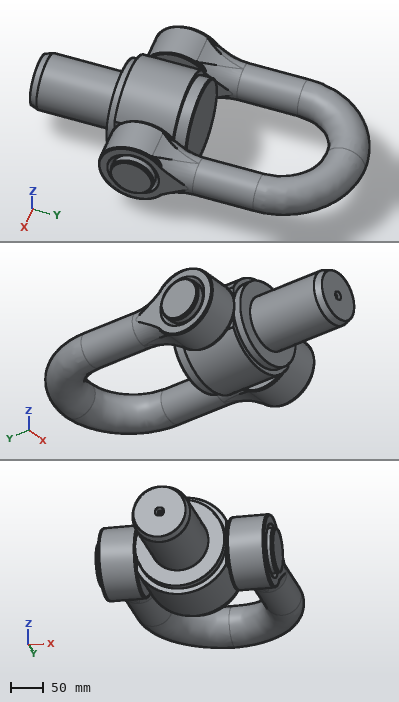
import cadquery as cq
import math


stud_diameter = 90.0
stud_tip_diameter = 82.0
stud_tip_y = -199.0
stud_tip_taper = 12.0
center_mark_diameter = 6.5
center_mark_depth = 10.5
center_sink_diameter = 13.5
head_diameter = 142.5
head_top_y = 64.5
head_edge_chamfer = 1.5
ring_diameter = 140.0
ring_front_y = -65.0

housing_diameter = 157.0
housing_width = 140.0
housing_front_y = -51.5
housing_back_y = 43.0

leg_diameter = 58.5
leg_offset = 101.0
leg_start_y = 96.0
bow_start_y = 193.5
crown_y = 328.5
crown_diameter = 64.0
bow_steps = 6
eye_diameter = 112.5
eye_width = 59.0
eye_edge_radial = 1.3
eye_edge_axial = 2.5
flare_end_radius = 54.0
flare_end_y = 30.0

pin_diameter = 69.0
pin_end_diameter = 68.0
pin_step_x = 135.0
overall_width = 278.0
pin_outer_x = overall_width / 2
pin_inner_x = 50.0
pin_end_chamfer = 1.0
sink_outer_diameter = 83.5
sink_middle_diameter = 75.5
sink_outer_depth = 3.95
sink_inner_depth = 2.0

leg_radius = leg_diameter / 2
eye_radius = eye_diameter / 2
SIDES = (-1, 1)


def cylinder_along_y(diameter, y_start, y_end):
    """Cylinder about the Y axis between two places along Y."""
    return cq.Workplane("XZ", origin=(0, y_start, 0)).circle(diameter / 2).extrude(y_start - y_end)


def cylinder_along_x(diameter, x_start, x_end):
    """Cylinder about the X axis between two places along X."""
    return cq.Workplane("YZ", origin=(x_start, 0, 0)).circle(diameter / 2).extrude(x_end - x_start)


def make_stud():
    """Shank with a tapered, center-marked tip, and a head behind the housing."""
    tip_radius = stud_tip_diameter / 2
    shank_radius = stud_diameter / 2
    head_radius = head_diameter / 2
    mark_radius = center_mark_diameter / 2
    sink_depth = center_sink_diameter / 2 - mark_radius
    return (
        cq.Workplane("XY")
        .moveTo(0, stud_tip_y + center_mark_depth)
        .lineTo(mark_radius, stud_tip_y + center_mark_depth)
        .lineTo(mark_radius, stud_tip_y + sink_depth)
        .lineTo(center_sink_diameter / 2, stud_tip_y)
        .lineTo(tip_radius, stud_tip_y)
        .lineTo(shank_radius, stud_tip_y + stud_tip_taper)
        .lineTo(shank_radius, housing_back_y)
        .lineTo(head_radius, housing_back_y)
        .lineTo(head_radius, head_top_y - head_edge_chamfer)
        .lineTo(head_radius - head_edge_chamfer, head_top_y)
        .lineTo(0, head_top_y)
        .close()
        .revolve(360, (0, 0, 0), (0, 1, 0))
    )


def make_ring():
    """Plain ring on the stud, against the front of the housing."""
    bore = cylinder_along_y(stud_diameter, ring_front_y, housing_front_y)
    return cylinder_along_y(ring_diameter, ring_front_y, housing_front_y).cut(bore)


def make_housing():
    """Round block with a flat on each side, a stud bore and two blind pin bores."""
    length = housing_back_y - housing_front_y
    middle_y = (housing_back_y + housing_front_y) / 2
    flats = cq.Workplane("XY").box(housing_width, length, housing_diameter).translate((0, middle_y, 0))
    housing = cylinder_along_y(housing_diameter, housing_front_y, housing_back_y).intersect(flats)
    housing = housing.cut(cylinder_along_y(stud_diameter, housing_front_y, housing_back_y))
    for side in SIDES:
        housing = housing.cut(cylinder_along_x(pin_diameter, side * pin_inner_x, side * housing_width / 2))
    return housing


def make_pin(side):
    """Stepped round pin from the housing out through one shackle eye."""
    body = cylinder_along_x(pin_diameter, side * pin_inner_x, side * pin_step_x)
    end = cylinder_along_x(pin_end_diameter, side * pin_step_x, side * pin_outer_x)
    end = end.faces(">X" if side > 0 else "<X").chamfer(pin_end_chamfer)
    return body.union(end)


def make_eye():
    """Disc about the X axis with both rims beveled."""
    half_width = eye_width / 2
    face_radius = eye_radius - eye_edge_radial
    return (
        cq.Workplane("XY")
        .moveTo(-half_width, 0)
        .lineTo(-half_width, face_radius)
        .lineTo(eye_edge_axial - half_width, eye_radius)
        .lineTo(half_width - eye_edge_axial, eye_radius)
        .lineTo(half_width, face_radius)
        .lineTo(half_width, 0)
        .close()
        .revolve(360, (0, 0, 0), (1, 0, 0))
    )


def make_neck():
    """Blend from the round leg to the flat-sided eye: a side outline cut down by a round flare."""
    arc_radius = (leg_start_y**2 + leg_radius**2 - eye_radius**2) / (2 * (eye_radius - leg_radius))
    arc_center_z = leg_radius + arc_radius
    eye_share = eye_radius / (eye_radius + arc_radius)
    touch_y = leg_start_y * eye_share
    touch_z = arc_center_z * eye_share
    half_turn = math.asin((leg_start_y - touch_y) / arc_radius) / 2
    middle_y = leg_start_y - arc_radius * math.sin(half_turn)
    middle_z = arc_center_z - arc_radius * math.cos(half_turn)
    outline = (
        cq.Workplane("YZ", origin=(-eye_width / 2, 0, 0))
        .moveTo(leg_start_y, leg_radius)
        .threePointArc((middle_y, middle_z), (touch_y, touch_z))
        .lineTo(0, 0)
        .lineTo(touch_y, -touch_z)
        .threePointArc((middle_y, -middle_z), (leg_start_y, -leg_radius))
        .close()
        .extrude(eye_width)
    )

    rise = flare_end_radius - leg_radius
    run = leg_start_y - flare_end_y
    flare_arc_radius = (run**2 + rise**2) / (2 * rise)
    half_flare = math.asin(run / flare_arc_radius) / 2
    flare_middle = (
        leg_radius + flare_arc_radius * (1 - math.cos(half_flare)),
        leg_start_y - flare_arc_radius * math.sin(half_flare),
    )
    flare = (
        cq.Workplane("XY")
        .moveTo(0, leg_start_y)
        .lineTo(leg_radius, leg_start_y)
        .threePointArc(flare_middle, (flare_end_radius, flare_end_y))
        .lineTo(flare_end_radius, 0)
        .lineTo(0, 0)
        .close()
        .revolve(360, (0, 0, 0), (0, 1, 0))
    )
    return outline.intersect(flare)


def bow_section(turn):
    """Circle across the bow, at a turn in radians from the leg (0) to the crown (pi / 2)."""
    crown_middle_y = crown_y - crown_diameter / 2
    bow_rise = crown_middle_y - bow_start_y
    center = (leg_offset * math.cos(turn), bow_start_y + bow_rise * math.sin(turn), 0)
    along_bow = (-leg_offset * math.sin(turn), bow_rise * math.cos(turn), 0)
    taper_share = turn / (math.pi / 2)
    diameter = leg_diameter + (crown_diameter - leg_diameter) * taper_share
    plane = cq.Plane(origin=center, xDir=(0, 0, -1), normal=along_bow)
    return cq.Workplane(plane).circle(diameter / 2).ctx.pendingWires[0]


def make_half_bow():
    """Quarter of the bow on the +X side, thickening from the leg to the crown."""
    turns = [math.pi / 2 * step / bow_steps for step in range(bow_steps + 1)]
    return cq.Workplane(cq.Solid.makeLoft([bow_section(turn) for turn in turns]))


def countersunk_pin_hole():
    """Pin hole for the +X eye, with a two-step countersink in the outer face."""
    outer_x = leg_offset + eye_width / 2
    inner_x = leg_offset - eye_width / 2
    middle_x = outer_x - sink_outer_depth
    bottom_x = middle_x - sink_inner_depth
    return (
        cq.Workplane("XY")
        .moveTo(inner_x, 0)
        .lineTo(inner_x, pin_diameter / 2)
        .lineTo(bottom_x, pin_diameter / 2)
        .lineTo(middle_x, sink_middle_diameter / 2)
        .lineTo(outer_x, sink_outer_diameter / 2)
        .lineTo(outer_x, 0)
        .close()
        .revolve(360, (0, 0, 0), (1, 0, 0))
    )


def make_shackle():
    """U-shaped shackle: one side built at +X, mirrored and joined at the crown."""
    leg = cylinder_along_y(leg_diameter, leg_start_y, bow_start_y)
    straight_part = make_eye().union(make_neck()).union(leg).translate((leg_offset, 0, 0))
    half = straight_part.union(make_half_bow()).cut(countersunk_pin_hole())
    return half.union(half.mirror("YZ"))


stud = make_stud()
ring = make_ring()
housing = make_housing()
shackle = make_shackle()
pins = [make_pin(side) for side in SIDES]

result = cq.Compound.makeCompound(
    [stud.val(), ring.val(), housing.val(), shackle.val(), *[pin.val() for pin in pins]]
)